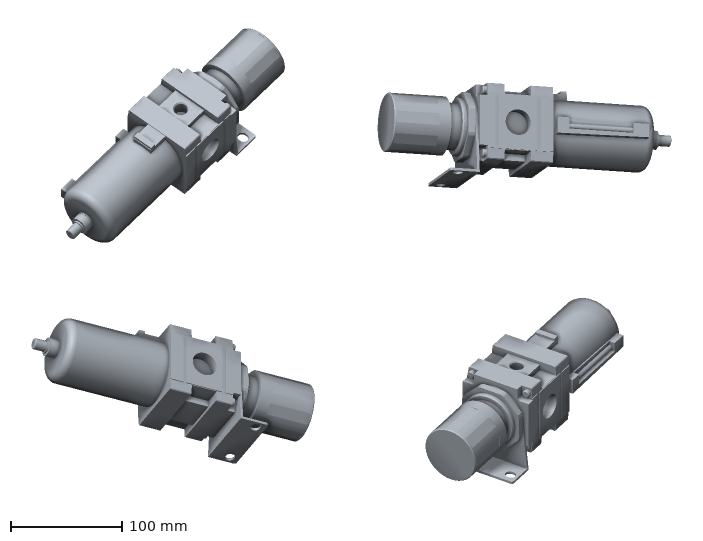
import cadquery as cq
import math


BODY_LENGTH = 69.5
SIDE_HALF_WIDTH = 35.0
SIDE_HALF_HEIGHT = 25.0
CORE_HALF_WIDTH = 34.2
CORE_HALF_HEIGHT = 25.6
BLOCK_HALF_HEIGHT = 35.0
BLOCK_TOP_HALF_WIDTH = 33.5
BLOCK_CHAMFER = 0.8
GROOVE_START = 21.0
GROOVE_END = 45.7
PAD_HALF_WIDTH = 16.8
PAD_HALF_HEIGHT = 31.8

PORT_Y = (GROOVE_START + GROOVE_END) / 2
SIDE_PORT_RADIUS = 11.7
SIDE_PORT_DEPTH = 11.2
TOP_PORT_RADIUS = 6.1
TOP_PORT_DEPTH = 13.4
TOP_PORT_CHAMFER = 1.0

SIDE_LINE_WIDTH = 3.2
SIDE_LINE_DEPTH = 0.5
SIDE_LINE_OFFSET = 19.5

NOTCH_INNER = 23.0
NOTCH_DEPTH = 7.5
NOTCH_FILLET = 3.2
SCREW_OFFSET = 29.0
SCREW_RADIUS = 3.7
SCREW_HEIGHT = 3.5
SCREW_CHAMFER = 0.8

PLATE_THICKNESS = 2.5
PLATE_RADIUS = 29.6
BRACKET_BOTTOM = -48.3
BRACKET_HALF_WIDTH = SIDE_HALF_WIDTH
FLANGE_END = 97.0
FLANGE_FILLET = 2.0
SLOT_LENGTH = 10.5
SLOT_WIDTH = 8.8
SLOT_X = 27.0
SLOT_Y = 87.5

NUT_SIDES = 8
NUT_FLAT_RADIUS = 30.2
NUT_CORNER_RADIUS = 32.0
NUT_END = 78.5

RING_RADIUS = 26.5
RING_END = 82.5
RING_CHAMFER = 1.0
NECK_RADIUS = 21.4
KNOB_START = 93.5
KNOB_RADIUS = 26.7
KNOB_END = 147.0
KNOB_EDGE = 0.8
GRIP_COUNT = 8
GRIP_FLAT_RADIUS = 26.2
GRIP_START = 104.7
GRIP_END = 144.7

BOWL_RADIUS = 30.2
BOWL_END = -98.0
BOWL_FILLET = 7.2
COLLAR_RADIUS = 8.5
COLLAR_END = -107.3
COLLAR_GROOVE_DEPTH = 0.3
COLLAR_GROOVE_WIDTH = 0.8
COLLAR_GROOVE_OFFSET = 1.3
STEP_RADIUS = 6.1
STEP_END = -109.0
TIP_RADIUS = 5.0
TIP_END = -120.2
TIP_CHAMFER = 0.5

LATCH_HALF_WIDTH = 10.1
LATCH_LENGTH = 20.3
LATCH_BASE = 26.7
LATCH_TOP = 34.2
LATCH_RIDGE_TOP = 36.9
LATCH_RIDGE_LENGTH = 5.5
LATCH_RIDGE_INSET = 0.5

GAUGE_OUTER_X = -36.3
GAUGE_INNER_X = -28.0
GAUGE_START = -3.7
GAUGE_END = -90.0
GAUGE_START_HALF_HEIGHT = 7.5
GAUGE_END_HALF_HEIGHT = 6.1
WINDOW_START = -14.5
WINDOW_END = -75.0
WINDOW_BOTTOM = -3.0
WINDOW_BACK_X = -30.7
TUBE_X = -31.2
TUBE_RADIUS = 3.0


def box(x_range, y_range, z_range):
    """Box between the two limits given on each axis."""
    size = [high - low for low, high in (x_range, y_range, z_range)]
    corner = cq.Vector(x_range[0], y_range[0], z_range[0])
    return cq.Workplane(cq.Solid.makeBox(*size, corner))


def rod(radius, start, end, x=0.0, z=0.0):
    """Cylinder parallel to Y from start to end (start below end)."""
    direction = cq.Vector(0, 1, 0)
    return cq.Workplane(cq.Solid.makeCylinder(radius, end - start, cq.Vector(x, start, z), direction))


def section_plane(y):
    """XZ sketch plane at y whose extrusion runs toward +Y; its local x is -X."""
    return cq.Workplane(cq.Plane(origin=(0, y, 0), xDir=(-1, 0, 0), normal=(0, 1, 0)))


def full_block():
    """Body block with sloped shoulders, chamfered top edges and flat raised sides."""
    chamfer_z = BLOCK_HALF_HEIGHT - BLOCK_CHAMFER
    quarter = [
        (SIDE_HALF_WIDTH, SIDE_HALF_HEIGHT),
        (CORE_HALF_WIDTH, SIDE_HALF_HEIGHT),
        (CORE_HALF_WIDTH, CORE_HALF_HEIGHT),
        (BLOCK_TOP_HALF_WIDTH, chamfer_z),
        (BLOCK_TOP_HALF_WIDTH - BLOCK_CHAMFER, BLOCK_HALF_HEIGHT),
    ]
    right = [(x, -z) for x, z in reversed(quarter)] + quarter
    left = [(-x, -z) for x, z in right]
    return section_plane(0).polyline(right + left).close().extrude(BODY_LENGTH)


def cross_groove(side):
    """Groove across the top (side = 1) or bottom (side = -1), leaving the middle pad."""
    y_range = (GROOVE_START, GROOVE_END)
    floor = side * CORE_HALF_HEIGHT
    groove = box((-SIDE_HALF_WIDTH, SIDE_HALF_WIDTH), y_range, sorted((floor, side * BLOCK_HALF_HEIGHT)))
    pad = box((-PAD_HALF_WIDTH, PAD_HALF_WIDTH), y_range, sorted((floor, side * PAD_HALF_HEIGHT)))
    return groove.cut(pad)


def corner_notch(x_side, z_side):
    """Square notch in a rear corner, rounded along its inner edge."""
    y_range = (BODY_LENGTH - NOTCH_DEPTH, BODY_LENGTH)
    reach = 2 * SIDE_HALF_WIDTH
    x_range = sorted((x_side * NOTCH_INNER, x_side * reach))
    z_range = sorted((z_side * NOTCH_INNER, z_side * reach))
    inner_edge = ("<X" if x_side > 0 else ">X", "<Z" if z_side > 0 else ">Z")
    return box(x_range, y_range, z_range).faces(inner_edge[0]).edges(inner_edge[1]).fillet(NOTCH_FILLET)


def corner_screw(x_side, z_side):
    """Round screw head standing on the floor of a notch."""
    floor = BODY_LENGTH - NOTCH_DEPTH
    head = rod(SCREW_RADIUS, floor, floor + SCREW_HEIGHT, x_side * SCREW_OFFSET, z_side * SCREW_OFFSET)
    return head.faces(">Y").chamfer(SCREW_CHAMFER)


def side_port(side):
    """Blind round port in a side face."""
    start = cq.Vector(side * SIDE_HALF_WIDTH, PORT_Y, 0)
    inward = cq.Vector(-side, 0, 0)
    return cq.Workplane(cq.Solid.makeCylinder(SIDE_PORT_RADIUS, SIDE_PORT_DEPTH, start, inward))


def side_line(side, y):
    """Shallow vertical line in a side face."""
    inner = SIDE_HALF_WIDTH - SIDE_LINE_DEPTH
    return box(
        sorted((side * inner, side * SIDE_HALF_WIDTH)),
        (y - SIDE_LINE_WIDTH / 2, y + SIDE_LINE_WIDTH / 2),
        (-SIDE_HALF_HEIGHT, SIDE_HALF_HEIGHT),
    )


def top_port():
    """Chamfered blind port in the upper pad."""
    down = cq.Vector(0, 0, -1)
    mouth = cq.Vector(0, PORT_Y, PAD_HALF_HEIGHT)
    hole = cq.Workplane(cq.Solid.makeCylinder(TOP_PORT_RADIUS, TOP_PORT_DEPTH, mouth, down))
    mouth_radius = TOP_PORT_RADIUS + TOP_PORT_CHAMFER
    bevel = cq.Solid.makeCone(mouth_radius, TOP_PORT_RADIUS, TOP_PORT_CHAMFER, mouth, down)
    return hole.union(cq.Workplane(bevel))


def make_body():
    body = full_block().cut(top_port())
    for side in (-1, 1):
        body = body.cut(cross_groove(side)).cut(side_port(side))
        for offset in (-SIDE_LINE_OFFSET, SIDE_LINE_OFFSET):
            body = body.cut(side_line(side, PORT_Y + offset))
    for x_side in (-1, 1):
        for z_side in (-1, 1):
            body = body.cut(corner_notch(x_side, z_side)).union(corner_screw(x_side, z_side))
    return body


def make_bracket():
    """Round-topped plate, its sides tangent to the round, with a slotted flange at the bottom."""
    corner_distance = math.hypot(BRACKET_HALF_WIDTH, BRACKET_BOTTOM)
    corner_angle = math.atan2(BRACKET_BOTTOM, BRACKET_HALF_WIDTH)
    tangent_angle = corner_angle + math.acos(PLATE_RADIUS / corner_distance)
    tangent_x = PLATE_RADIUS * math.cos(tangent_angle)
    tangent_z = PLATE_RADIUS * math.sin(tangent_angle)
    plate = (
        section_plane(BODY_LENGTH)
        .moveTo(-BRACKET_HALF_WIDTH, BRACKET_BOTTOM)
        .lineTo(BRACKET_HALF_WIDTH, BRACKET_BOTTOM)
        .lineTo(tangent_x, tangent_z)
        .threePointArc((0, PLATE_RADIUS), (-tangent_x, tangent_z))
        .close()
        .extrude(PLATE_THICKNESS)
    )
    flange = box(
        (-BRACKET_HALF_WIDTH, BRACKET_HALF_WIDTH),
        (BODY_LENGTH, FLANGE_END),
        (BRACKET_BOTTOM, BRACKET_BOTTOM + PLATE_THICKNESS),
    )
    flange = flange.faces(">Y").edges("|Z").fillet(FLANGE_FILLET)
    slots = (
        cq.Workplane(origin=(0, 0, BRACKET_BOTTOM))
        .pushPoints([(-SLOT_X, SLOT_Y), (SLOT_X, SLOT_Y)])
        .slot2D(SLOT_LENGTH, SLOT_WIDTH)
        .extrude(PLATE_THICKNESS)
    )
    return plate.union(flange.cut(slots))


def make_nut():
    """Octagonal nut with its corners turned round."""
    start = BODY_LENGTH + PLATE_THICKNESS
    flat_turn = 180 / NUT_SIDES
    corner_diameter = 2 * NUT_FLAT_RADIUS / math.cos(math.radians(flat_turn))
    octagon = section_plane(start).polygon(NUT_SIDES, corner_diameter).extrude(NUT_END - start)
    octagon = octagon.rotate((0, 0, 0), (0, 1, 0), flat_turn)
    return octagon.intersect(rod(NUT_CORNER_RADIUS, start, NUT_END))


def make_knob():
    """Chamfered ring, neck and knob with flats around its grip."""
    ring = rod(RING_RADIUS, NUT_END, RING_END).faces(">Y").chamfer(RING_CHAMFER)
    neck = rod(NECK_RADIUS, RING_END, KNOB_START)
    knob = rod(KNOB_RADIUS, KNOB_START, KNOB_END).faces(">Y").chamfer(KNOB_EDGE)
    flat = box((-KNOB_RADIUS, KNOB_RADIUS), (GRIP_START, GRIP_END), (GRIP_FLAT_RADIUS, KNOB_RADIUS))
    for index in range(GRIP_COUNT):
        knob = knob.cut(flat.rotate((0, 0, 0), (0, 1, 0), index * 360 / GRIP_COUNT))
    return ring.union(neck).union(knob)


def make_bowl():
    """Rounded bowl with the stepped drain at its end."""
    bowl = rod(BOWL_RADIUS, BOWL_END, 0).faces("<Y").edges().fillet(BOWL_FILLET)
    groove_end = BOWL_END - COLLAR_GROOVE_OFFSET
    groove_start = groove_end - COLLAR_GROOVE_WIDTH
    groove = rod(COLLAR_RADIUS, groove_start, groove_end)
    groove = groove.cut(rod(COLLAR_RADIUS - COLLAR_GROOVE_DEPTH, groove_start, groove_end))
    collar = rod(COLLAR_RADIUS, COLLAR_END, BOWL_END).cut(groove)
    step = rod(STEP_RADIUS, STEP_END, COLLAR_END)
    tip = rod(TIP_RADIUS, TIP_END, STEP_END).faces("<Y").chamfer(TIP_CHAMFER)
    return bowl.union(collar).union(step).union(tip)


def make_latch():
    """Flat latch on top of the bowl with a raised ridge near its free end."""
    x_range = (-LATCH_HALF_WIDTH, LATCH_HALF_WIDTH)
    ridge_start = LATCH_RIDGE_INSET - LATCH_LENGTH
    ridge = box(x_range, (ridge_start, ridge_start + LATCH_RIDGE_LENGTH), (LATCH_BASE, LATCH_RIDGE_TOP))
    return box(x_range, (-LATCH_LENGTH, 0), (LATCH_BASE, LATCH_TOP)).union(ridge)


def make_gauge():
    """Tapered gauge housing, open at the side and top, with a sight tube inside."""
    housing = (
        cq.Workplane("YZ", origin=(GAUGE_OUTER_X, 0, 0))
        .polyline([
            (GAUGE_START, -GAUGE_START_HALF_HEIGHT),
            (GAUGE_START, GAUGE_START_HALF_HEIGHT),
            (GAUGE_END, GAUGE_END_HALF_HEIGHT),
            (GAUGE_END, -GAUGE_END_HALF_HEIGHT),
        ])
        .close()
        .extrude(GAUGE_INNER_X - GAUGE_OUTER_X)
    )
    window = box(
        (GAUGE_OUTER_X, WINDOW_BACK_X), (WINDOW_END, WINDOW_START), (WINDOW_BOTTOM, GAUGE_START_HALF_HEIGHT)
    )
    tube = rod(TUBE_RADIUS, WINDOW_END, WINDOW_START, TUBE_X)
    return housing.cut(window).union(tube)


result = make_body()
for piece in (make_bracket(), make_nut(), make_knob(), make_bowl(), make_latch(), make_gauge()):
    result = result.union(piece)